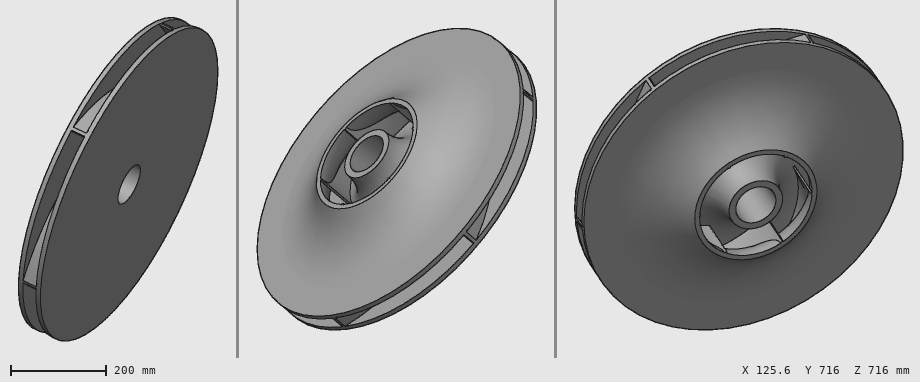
import cadquery as cq
import math

OVERALL_WIDTH = 125.55
OUTER_RADIUS = 358.0
BORE_RADIUS = 45.0
HUB_RADIUS = 60.0
EYE_RADIUS = 126.0
EYE_WALL = 11.0
DISC_THICKNESS = 11.0
OUTLET_WIDTH = 32.0

SHROUD_FLAT_RADIUS = 288.5

BLADE_COUNT = 6
BLADE_TIP_THICKNESS = 7.0
BLADE_INLET_THICKNESS = 4.0
BLADE_INLET_RADIUS = 125.0
BLADE_ANGLE = 27.5
BLADE_TIP_POSITION = 3.2

BACK_DISC_X = OVERALL_WIDTH - DISC_THICKNESS
SHROUD_INNER_X = BACK_DISC_X - OUTLET_WIDTH
SHROUD_OUTER_X = SHROUD_INNER_X - DISC_THICKNESS
EYE_OUTER_RADIUS = EYE_RADIUS + EYE_WALL
WALL_MIDDLE_X = SHROUD_OUTER_X + DISC_THICKNESS / 2
WALL_MIDDLE_RADIUS = EYE_RADIUS + EYE_WALL / 2

HUB_FLAT_RADIUS = HUB_RADIUS + BACK_DISC_X
PASSAGE_FLAT_RADIUS = EYE_RADIUS + SHROUD_INNER_X

BLADE_SLOPE = math.radians(BLADE_ANGLE)
BLADE_WRAP = math.log(OUTER_RADIUS / BLADE_INLET_RADIUS) / math.tan(BLADE_SLOPE)
FACE_SEGMENTS = 40


def flare_midpoint(start_radius, flat_x, flat_radius):
    """Middle of the arc from (0, start_radius) that meets the plane X = flat_x tangentially."""
    rise = flat_radius - start_radius
    arc_radius = (flat_x**2 + rise**2) / (2 * flat_x)
    half_angle = math.asin(rise / arc_radius) / 2
    x = flat_x - arc_radius * (1 - math.cos(half_angle))
    radius = flat_radius - arc_radius * math.sin(half_angle)
    return x, radius


def spin(profile):
    """Revolve an (X, radius) profile about the X axis."""
    return profile.close().revolve(360, (0, 0, 0), (1, 0, 0))


def make_hub():
    """Hub with its bore, flaring out into the flat back disc."""
    profile = (
        cq.Workplane("XY")
        .moveTo(0, BORE_RADIUS)
        .lineTo(0, HUB_RADIUS)
        .threePointArc(
            flare_midpoint(HUB_RADIUS, BACK_DISC_X, HUB_FLAT_RADIUS),
            (BACK_DISC_X, HUB_FLAT_RADIUS),
        )
        .lineTo(BACK_DISC_X, OUTER_RADIUS)
        .lineTo(OVERALL_WIDTH, OUTER_RADIUS)
        .lineTo(OVERALL_WIDTH, BORE_RADIUS)
    )
    return spin(profile)


def make_shroud():
    """Front shroud, from the rim of the eye to the flat front disc."""
    profile = (
        cq.Workplane("XY")
        .moveTo(0, EYE_RADIUS)
        .lineTo(0, EYE_OUTER_RADIUS)
        .threePointArc(
            flare_midpoint(EYE_OUTER_RADIUS, SHROUD_OUTER_X, SHROUD_FLAT_RADIUS),
            (SHROUD_OUTER_X, SHROUD_FLAT_RADIUS),
        )
        .lineTo(SHROUD_OUTER_X, OUTER_RADIUS)
        .lineTo(SHROUD_INNER_X, OUTER_RADIUS)
        .lineTo(SHROUD_INNER_X, PASSAGE_FLAT_RADIUS)
        .threePointArc(
            flare_midpoint(EYE_RADIUS, SHROUD_INNER_X, PASSAGE_FLAT_RADIUS),
            (0, EYE_RADIUS),
        )
    )
    return spin(profile)


def make_blade_limits():
    """Space the blades may fill: from the middle of the shroud wall to the back disc."""
    profile = (
        cq.Workplane("XY")
        .moveTo(0, HUB_RADIUS)
        .lineTo(0, WALL_MIDDLE_RADIUS)
        .threePointArc(
            flare_midpoint(WALL_MIDDLE_RADIUS, WALL_MIDDLE_X, SHROUD_FLAT_RADIUS),
            (WALL_MIDDLE_X, SHROUD_FLAT_RADIUS),
        )
        .lineTo(WALL_MIDDLE_X, OUTER_RADIUS)
        .lineTo(BACK_DISC_X, OUTER_RADIUS)
        .lineTo(BACK_DISC_X, HUB_RADIUS)
    )
    return spin(profile)


def blade_point(turn, side):
    """(Y, Z) point on one face of a blade.

    The blade's middle line is a logarithmic spiral and the blade thins towards the eye.
    turn is the angle in radians run inward from the tip, and side is +1 for the outer face
    or -1 for the inner face.
    """
    polar = math.pi - math.radians(BLADE_TIP_POSITION) - turn
    radius = OUTER_RADIUS * math.exp(-math.tan(BLADE_SLOPE) * turn)
    normal = polar - BLADE_SLOPE
    taper = (BLADE_TIP_THICKNESS - BLADE_INLET_THICKNESS) * turn / BLADE_WRAP
    offset = side * (BLADE_TIP_THICKNESS - taper) / 2
    y = radius * math.cos(polar) + offset * math.cos(normal)
    z = radius * math.sin(polar) + offset * math.sin(normal)
    return y, z


def make_blade():
    """One blade along X, square at both ends, before it is trimmed to the passage and rim."""

    def face(side, start, stop):
        """Arguments for drawing one face of the blade between two turn angles."""
        return dict(
            func=lambda turn: (*blade_point(turn, side), 0),
            N=FACE_SEGMENTS,
            start=start,
            stop=stop,
            makeWire=False,
        )

    return (
        cq.Workplane("YZ")
        .parametricCurve(**face(1, 0, BLADE_WRAP))
        .moveTo(*blade_point(BLADE_WRAP, 1))
        .lineTo(*blade_point(BLADE_WRAP, -1))
        .parametricCurve(**face(-1, BLADE_WRAP, 0))
        .moveTo(*blade_point(0, -1))
        .lineTo(*blade_point(0, 1))
        .wire()
        .extrude(BACK_DISC_X)
    )


blade = make_blade().intersect(make_blade_limits())

result = make_hub().union(make_shroud())
for number in range(BLADE_COUNT):
    angle = number * 360 / BLADE_COUNT
    result = result.union(blade.rotate((0, 0, 0), (1, 0, 0), angle))